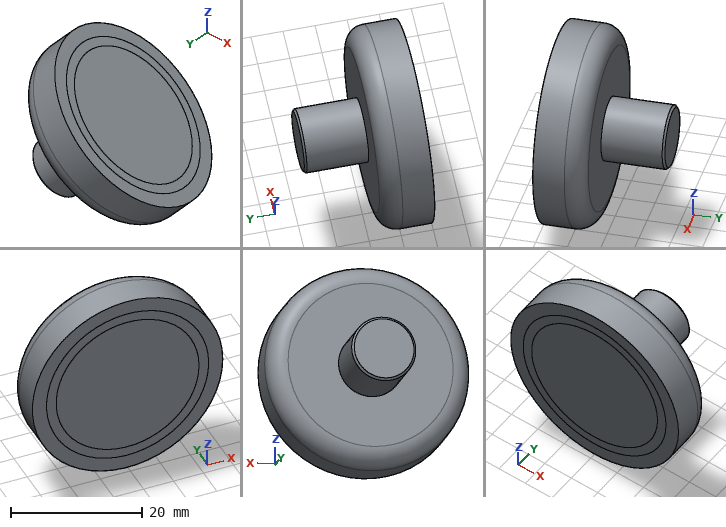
import cadquery as cq

pot_diameter = 31.75
pot_height = 8.0
pot_round = 3.02
stem_diameter = 10.0
stem_length = 9.97
stem_chamfer = 0.35
ring_outer_diameter = 27.02
core_diameter = 23.8
recess_depth = 5.0


def cylinder(diameter, length, start=0):
    """Solid cylinder along +Y, beginning at Y = start."""
    plane = cq.Plane(origin=(0, start, 0), xDir=(1, 0, 0), normal=(0, 1, 0))
    return cq.Workplane(plane).circle(diameter / 2).extrude(length)


def make_housing():
    """Cup with a rounded back edge, a chamfered stem and a recess in its face."""
    cup = cylinder(pot_diameter, pot_height).faces(">Y").edges().fillet(pot_round)
    stem = cylinder(stem_diameter, stem_length, pot_height)
    stem = stem.faces(">Y").edges().chamfer(stem_chamfer)
    recess = cylinder(ring_outer_diameter, recess_depth)
    return cup.union(stem).cut(recess)


def make_core():
    """Central disc, flush with the holding face."""
    return cylinder(core_diameter, recess_depth)


def make_ring():
    """Spacer ring filling the gap between the core and the housing."""
    bore = cylinder(core_diameter, recess_depth)
    return cylinder(ring_outer_diameter, recess_depth).cut(bore)


housing = make_housing()
ring = make_ring()
core = make_core()

result = cq.Compound.makeCompound([housing.val(), ring.val(), core.val()])